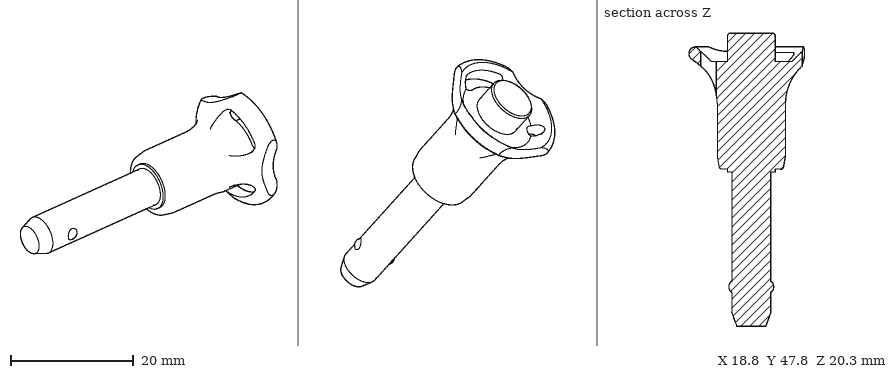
import cadquery as cq
import math

length = 47.75

shank_radius = 3.2
tip_radius = 2.4
tip_length = 2.25
ball_radius = 1.15
ball_reach = 3.7
ball_y = 6.45

collar_radius = 3.9
collar_y = 25.1
body_radius = 5.6
body_end_y = 25.55
body_end_radius = 4.75
nose_fillet_y = 26.1
nose_fillet_radius = 5.3
nose_y = 27.7
flare_y = 36.2

handle_top_y = 45.55
rim_outer_radius = 10.15
rim_round = 1.15
dish_depth = 2.4

button_radius = 3.9
button_chamfer = 0.3

scallop_middle_radius = 8.3
scallop_corner_angle = 31.3
scallop_angles = (0, 120, 240)

opening_circle_radius = 6.95
opening_radius = 1.15
hole_radius = 1.25
slot_sweep = 52.0
slot_angles = (60, 300)


def polar(radius, angle):
    """Offset in a sketch for the given radius and angle in degrees."""
    radians = math.radians(angle)
    return radius * math.cos(radians), radius * math.sin(radians)


def along_y(sketch_y):
    """XZ workplane at the given Y, extruding toward +Y with local (x, y) = (X, -Z)."""
    return cq.Workplane(cq.Plane((0, sketch_y, 0), (1, 0, 0), (0, 1, 0)))


def make_turned_body():
    crest_radius = rim_outer_radius - rim_round
    rim_y = handle_top_y - rim_round

    crest_offset = crest_radius - body_radius
    rise = rim_y - flare_y
    flare_radius = (crest_offset**2 + rise**2 - rim_round**2) / (2 * (crest_offset + rim_round))
    flare_center_x = body_radius + flare_radius
    joint_angle = math.degrees(math.atan2(rise, crest_radius - flare_center_x))
    joint_x, joint_rise = polar(flare_radius, joint_angle)
    middle_x, middle_rise = polar(flare_radius, (180 + joint_angle) / 2)
    joint = (flare_center_x + joint_x, flare_y + joint_rise)
    flare_middle = (flare_center_x + middle_x, flare_y + middle_rise)
    rim_middle_x, rim_middle_rise = polar(rim_round, (90 + joint_angle - 180) / 2)
    rim_middle = (crest_radius + rim_middle_x, rim_y + rim_middle_rise)

    profile = (
        cq.Workplane("XY")
        .moveTo(0, 0)
        .lineTo(tip_radius, 0)
        .lineTo(shank_radius, tip_length)
        .lineTo(shank_radius, collar_y)
        .lineTo(collar_radius, collar_y)
        .lineTo(collar_radius, body_end_y)
        .lineTo(body_end_radius, body_end_y)
        .tangentArcPoint((nose_fillet_radius, nose_fillet_y), relative=False)
        .lineTo(body_radius, nose_y)
        .lineTo(body_radius, flare_y)
        .threePointArc(flare_middle, joint)
        .threePointArc(rim_middle, (crest_radius, handle_top_y))
        .lineTo(crest_radius - dish_depth, handle_top_y - dish_depth)
        .lineTo(button_radius, handle_top_y - dish_depth)
        .lineTo(button_radius, length - button_chamfer)
        .lineTo(button_radius - button_chamfer, length)
        .lineTo(0, length)
        .close()
    )
    return profile.revolve(360, (0, 0, 0), (0, 1, 0))


def make_scallop(angle):
    """Large cylinder whose side bites into the rim at the given angle."""
    corner_x, half_chord = polar(rim_outer_radius, scallop_corner_angle)
    sag = corner_x - scallop_middle_radius
    radius = (half_chord**2 + sag**2) / (2 * sag)
    cutter = along_y(flare_y).center(scallop_middle_radius + radius, 0).circle(radius)
    return cutter.extrude(length - flare_y).rotate((0, 0, 0), (0, 1, 0), angle)


def make_slot(angle):
    """Curved slot with round ends, centred on the given angle."""
    half_sweep = slot_sweep / 2
    inner = opening_circle_radius - opening_radius
    outer = opening_circle_radius + opening_radius
    end_center = polar(opening_circle_radius, half_sweep)
    end_x, end_z = polar(opening_radius, half_sweep + 90)
    end_tip = (end_center[0] + end_x, end_center[1] + end_z)
    outline = (
        along_y(flare_y)
        .moveTo(*polar(inner, -half_sweep))
        .threePointArc((inner, 0), polar(inner, half_sweep))
        .threePointArc(end_tip, polar(outer, half_sweep))
        .threePointArc((outer, 0), polar(outer, -half_sweep))
        .threePointArc((end_tip[0], -end_tip[1]), polar(inner, -half_sweep))
        .close()
    )
    return outline.extrude(length - flare_y).rotate((0, 0, 0), (0, 1, 0), angle)


def make_lanyard_hole():
    cutter = along_y(flare_y).center(-opening_circle_radius, 0).circle(hole_radius)
    return cutter.extrude(length - flare_y)


def make_ball(side):
    ball_x = side * (ball_reach - ball_radius)
    return cq.Workplane("XY").sphere(ball_radius).translate((ball_x, ball_y, 0))


result = make_turned_body()
for scallop_angle in scallop_angles:
    result = result.cut(make_scallop(scallop_angle))
for slot_angle in slot_angles:
    result = result.cut(make_slot(slot_angle))
result = result.cut(make_lanyard_hole())
for ball_side in (-1, 1):
    result = result.union(make_ball(ball_side))